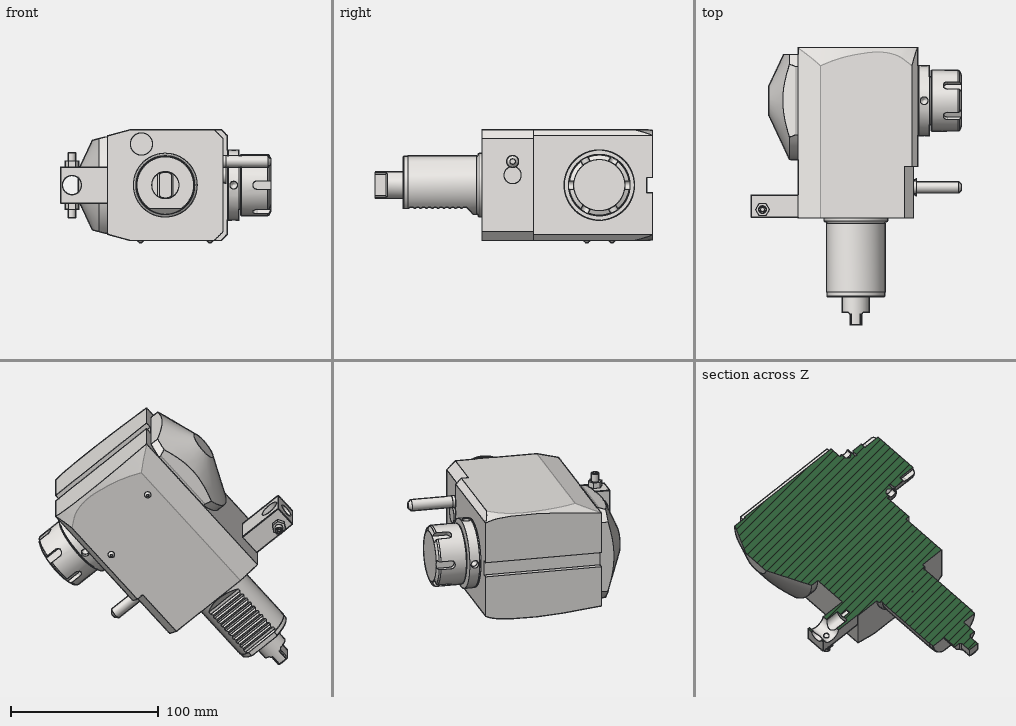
import cadquery as cq
import math


BODY_LEFT = -39.1
BODY_RIGHT = 42.0
BODY_BACK = 115.6
BODY_HEIGHT = 75.0
BODY_HALF_HEIGHT = BODY_HEIGHT / 2
SIDE_SLOPE = math.tan(math.radians(15))
SLOPE_WIDTH = 15.2
RIGHT_CHAMFER = 4.0
STEP_RIGHT = 39.1
STEP_LENGTH = 35.0
STEP_CHAMFER = 6.0
CROWN_STATIONS = (
    (BODY_LEFT, 4.1, 20.7),
    (-23.9, 2.5, 12.5),
    (-5.6, 1.0, 6.0),
    (12.2, 0.28, 3.2),
    (25.8, 0.65, 4.7),
    (38.0, 2.5, 12.5),
    (BODY_RIGHT, 4.0, 15.0),
)
CROWN_LENGTH = 15.0
KEYWAY_DEPTH = 4.0
KEYWAY_WIDTH = 10.2
PLUG_CENTER = (-16.2, 27.8)
PLUG_RADIUS = 7.5
PLUG_RECESS = 0.4

SPINDLE_Y = 79.5

COVER_RADIUS = 40.0
COVER_TIP_RADIUS = 10.0
COVER_RIM = 5.8
COVER_CONE_SLOPE = math.tan(math.radians(25))
COVER_BACK = 31.4
COVER_HALF_HEIGHT = 32.7
COVER_FLAT = 1.5

SEAT_RADIUS = 23.5
SEAT_LENGTH = 1.0
FLANGE_RADIUS = 23.9
FLANGE_END = 49.8
NECK_RADIUS = 16.4
NUT_START = 51.0
NUT_RADIUS = 20.9
NUT_EDGE = 0.5
NUT_SHOULDER = 70.3
NUT_FACE_RADIUS = 17.3
TOOL_END = 71.6
FLANGE_HOLE_X = 46.2
FLANGE_HOLE_RADIUS = 2.6
FLANGE_HOLE_DEPTH = 3.8
FLANGE_HOLE_COUNT = 4
NUT_SLOT_COUNT = 6
NUT_SLOT_WIDTH = 5.6
NUT_SLOT_START = 59.2
NUT_SLOT_FLOOR = 17.3

PIN_Y = 20.9
PIN_Z = 16.0
PIN_RADIUS = 4.0
PIN_BASE_RADIUS = 4.1
PIN_BASE_LENGTH = 2.0
PIN_CHAMFER = 2.0
NOZZLE_Z = 6.8
NOZZLE_RADIUS = 4.9
NOZZLE_FLARE = 1.0
NOZZLE_LENGTH = 1.9

COLLAR_RADIUS = 21.6
COLLAR_RIM = 1.5
COLLAR_ROUND = 1.0
UNDERCUT_RADIUS = 19.5
UNDERCUT_END = 3.8
SHANK_RADIUS = 20.0
SHANK_LENGTH = 53.2
SHANK_BAND = 3.4
BAND_INSET = 0.28
END_CHAMFER = 0.47
TOOTH_ROOT = 15.0
TOOTH_HEIGHT = 1.0
TOOTH_HALF_WIDTH = 1.3
TOOTH_PITCH = 4.0
TOOTH_COUNT = 9
FIRST_TOOTH = 13.7
RUNOUT_START = 5.6
RUNOUT_END = 10.3

DRIVE_RADIUS = 9.2
DRIVE_SHOULDER = 63.7
DRIVE_END = 72.4
TANG_THICKNESS = 8.0
ROOT_BEVEL = 1.1
TANG_CHAMFER = 1.1

BLOCK_LEFT = -71.0
BLOCK_FRONT = 0.5
BLOCK_BACK = 15.8
BLOCK_HALF_HEIGHT = 12.5
BLOCK_EDGE = 0.4
CROSS_HOLE_X = -63.2
CROSS_HOLE_RADIUS = 6.4
END_BORE_Y = 7.3
END_BORE_RADIUS = 4.7
END_BORE_FLOOR = -47.0
JET_RADIUS = 1.41
JET_DEPTH = 5.6
SCREW_Y = 5.8
SCREW_RADIUS = 2.6
SCREW_HOLE_RADIUS = 1.9
SCREW_HOLE_END = 6.8
SCREW_END = 22.2
SCREW_EDGE = 0.4
LOCKNUT_END = 16.4
LOCKNUT_ACROSS_CORNERS = 9.4
SOCKET_ACROSS_CORNERS = 3.0
SOCKET_DEPTH = 2.8

RIVET_SPOTS = ((-16.7, 88.2), (30.3, 71.0))
RIVET_RADIUS = 2.3
RIVET_TIP_RADIUS = 0.8
RIVET_HEIGHT = 1.5

OVERLAP = 1.9


def cylinder(start, direction, radius, length):
    """Solid cylinder from a start point along a direction."""
    return cq.Workplane(cq.Solid.makeCylinder(radius, length, cq.Vector(*start), cq.Vector(*direction)))


def cone(start, direction, start_radius, end_radius, length):
    """Solid cone frustum from a start point along a direction."""
    return cq.Workplane(
        cq.Solid.makeCone(start_radius, end_radius, length, cq.Vector(*start), cq.Vector(*direction))
    )


def box(x_range, y_range, z_range):
    """Axis-aligned box from its three ranges."""
    ranges = (x_range, y_range, z_range)
    size = [high - low for low, high in ranges]
    corner = cq.Vector(*[low for low, high in ranges])
    return cq.Workplane(cq.Solid.makeBox(*size, corner))


def mirrored_outline(upper_half):
    """Close a point list given for positive second coordinate with its mirror image."""
    return upper_half + [(a, -b) for a, b in reversed(upper_half)]


def crown_section(y, heights):
    """Closed section across the body at the given Y, bounded above by a smooth curve."""
    stations = [x for x, drop, run in CROWN_STATIONS]
    curve = [cq.Vector(x, y, z) for x, z in zip(stations, heights)]
    corners = [curve[-1], cq.Vector(stations[-1], y, 0), cq.Vector(stations[0], y, 0), curve[0]]
    edges = [cq.Edge.makeSpline(curve)]
    edges += [cq.Edge.makeLine(start, end) for start, end in zip(corners, corners[1:])]
    return cq.Wire.assembleEdges(edges)


def crown_cutter():
    """Material removed above the crowned surface at the back of the body's top."""
    back = [BODY_HALF_HEIGHT - drop for x, drop, run in CROWN_STATIONS]
    front = [BODY_HALF_HEIGHT + drop * (CROWN_LENGTH / run - 1) for x, drop, run in CROWN_STATIONS]
    front_y = BODY_BACK - CROWN_LENGTH
    kept = cq.Solid.makeLoft([crown_section(BODY_BACK, back), crown_section(front_y, front)], True)
    blank = box((BODY_LEFT, BODY_RIGHT), (front_y, BODY_BACK), (0, BODY_HALF_HEIGHT + OVERLAP))
    return blank.cut(cq.Workplane(kept))


def make_body():
    outline = mirrored_outline([
        (BODY_LEFT, BODY_HALF_HEIGHT - SLOPE_WIDTH * SIDE_SLOPE),
        (BODY_LEFT + SLOPE_WIDTH, BODY_HALF_HEIGHT),
        (BODY_RIGHT - RIGHT_CHAMFER, BODY_HALF_HEIGHT),
        (BODY_RIGHT, BODY_HALF_HEIGHT - RIGHT_CHAMFER),
    ])
    body = cq.Workplane("XZ").polyline(outline).close().extrude(-BODY_BACK)

    crown = crown_cutter()
    body = body.cut(crown).cut(crown.mirror("XY"))

    wide = BODY_RIGHT + OVERLAP
    tall = BODY_HALF_HEIGHT + OVERLAP
    step = box((STEP_RIGHT - STEP_CHAMFER - OVERLAP, wide), (-OVERLAP, STEP_LENGTH), (-tall, tall))
    kept_outline = mirrored_outline([
        (BODY_LEFT, BODY_HALF_HEIGHT),
        (STEP_RIGHT - STEP_CHAMFER, BODY_HALF_HEIGHT),
        (STEP_RIGHT, BODY_HALF_HEIGHT - STEP_CHAMFER),
    ])
    kept = cq.Workplane("XZ").polyline(kept_outline).close().extrude(-STEP_LENGTH)
    body = body.cut(step.cut(kept))

    keyway = box(
        (BODY_LEFT - OVERLAP, wide),
        (BODY_BACK - KEYWAY_DEPTH, BODY_BACK + OVERLAP),
        (-KEYWAY_WIDTH / 2, KEYWAY_WIDTH / 2),
    )
    plug_x, plug_z = PLUG_CENTER
    plug = cylinder((plug_x, 0, plug_z), (0, 1, 0), PLUG_RADIUS, PLUG_RECESS)
    return body.cut(keyway).cut(plug)


def make_cover():
    """Conical cover on the left side, trimmed at the back, the top and the bottom."""
    cone_length = (COVER_RADIUS - COVER_TIP_RADIUS) * COVER_CONE_SLOPE
    cover_length = COVER_RIM + cone_length
    rim_start = (BODY_LEFT + OVERLAP, SPINDLE_Y, 0)
    cone_start = (BODY_LEFT - COVER_RIM, SPINDLE_Y, 0)
    cover = cylinder(rim_start, (-1, 0, 0), COVER_RADIUS, COVER_RIM + OVERLAP)
    cover = cover.union(cone(cone_start, (-1, 0, 0), COVER_RADIUS, COVER_TIP_RADIUS, cone_length))

    slope_start = BODY_LEFT - COVER_FLAT
    tip = BODY_LEFT - cover_length
    side = mirrored_outline([
        (tip, COVER_HALF_HEIGHT - (slope_start - tip) * SIDE_SLOPE),
        (slope_start, COVER_HALF_HEIGHT),
        (BODY_LEFT + OVERLAP, COVER_HALF_HEIGHT),
    ])
    side_trim = cq.Workplane("XZ").polyline(side).close().extrude(-SPINDLE_Y - COVER_BACK)
    return cover.intersect(side_trim)


def make_chuck():
    """Flange and slotted clamping nut, turned about the spindle line."""
    seat_end = BODY_RIGHT + SEAT_LENGTH
    profile = [
        (BODY_RIGHT - OVERLAP, 0),
        (BODY_RIGHT - OVERLAP, SEAT_RADIUS),
        (seat_end, SEAT_RADIUS),
        (seat_end, FLANGE_RADIUS),
        (FLANGE_END, FLANGE_RADIUS),
        (FLANGE_END, NECK_RADIUS),
        (NUT_START, NECK_RADIUS),
        (NUT_START, NUT_RADIUS - NUT_EDGE),
        (NUT_START + NUT_EDGE, NUT_RADIUS),
        (NUT_SHOULDER - 2 * NUT_EDGE, NUT_RADIUS),
        (NUT_SHOULDER, NUT_RADIUS - NUT_EDGE),
        (TOOL_END, NUT_FACE_RADIUS),
        (TOOL_END, 0),
    ]
    chuck = (
        cq.Workplane("XY", origin=(0, SPINDLE_Y, 0))
        .polyline(profile).close().revolve(360, (0, 0, 0), (1, 0, 0))
    )

    axis_start = (0, SPINDLE_Y, 0)
    axis_end = (1, SPINDLE_Y, 0)
    hole_floor = SPINDLE_Y - FLANGE_RADIUS + FLANGE_HOLE_DEPTH
    hole = cylinder(
        (FLANGE_HOLE_X, hole_floor, 0), (0, -1, 0), FLANGE_HOLE_RADIUS, FLANGE_HOLE_DEPTH + OVERLAP
    )
    hole = hole.union(
        cone((FLANGE_HOLE_X, hole_floor, 0), (0, 1, 0), FLANGE_HOLE_RADIUS, 0, FLANGE_HOLE_RADIUS)
    )
    for index in range(FLANGE_HOLE_COUNT):
        chuck = chuck.cut(hole.rotate(axis_start, axis_end, index * 360 / FLANGE_HOLE_COUNT))

    slot_floor = SPINDLE_Y - NUT_SLOT_FLOOR
    slot_side = SPINDLE_Y - NUT_RADIUS - OVERLAP
    round_x = NUT_SLOT_START + NUT_SLOT_WIDTH / 2
    slot = box(
        (round_x, TOOL_END + OVERLAP), (slot_side, slot_floor), (-NUT_SLOT_WIDTH / 2, NUT_SLOT_WIDTH / 2)
    )
    slot = slot.union(
        cylinder((round_x, slot_side, 0), (0, 1, 0), NUT_SLOT_WIDTH / 2, slot_floor - slot_side)
    )
    for index in range(NUT_SLOT_COUNT):
        chuck = chuck.cut(slot.rotate(axis_start, axis_end, index * 360 / NUT_SLOT_COUNT))
    return chuck


def make_coolant_parts():
    """Coolant pin and the flared nozzle seat below it."""
    start_x = STEP_RIGHT - OVERLAP
    pin = cylinder((start_x, PIN_Y, PIN_Z), (1, 0, 0), PIN_RADIUS, TOOL_END - start_x)
    pin = pin.faces(">X").chamfer(PIN_CHAMFER)
    base = cylinder((start_x, PIN_Y, PIN_Z), (1, 0, 0), PIN_BASE_RADIUS, OVERLAP + PIN_BASE_LENGTH)
    nozzle = cone(
        (STEP_RIGHT, PIN_Y, NOZZLE_Z), (1, 0, 0), NOZZLE_RADIUS, NOZZLE_RADIUS + NOZZLE_FLARE, NOZZLE_LENGTH
    )
    root = cylinder((start_x, PIN_Y, NOZZLE_Z), (1, 0, 0), NOZZLE_RADIUS, OVERLAP)
    return pin.union(base).union(nozzle).union(root)


def make_shank():
    """Round shank with a collar at the body and a toothed flat underneath."""
    band_radius = SHANK_RADIUS - BAND_INSET
    collar_end = COLLAR_RIM + COLLAR_ROUND
    round_radius = COLLAR_RADIUS - COLLAR_ROUND
    undercut_round = round_radius - UNDERCUT_RADIUS
    round_leg = COLLAR_ROUND * math.sqrt(0.5)
    undercut_leg = undercut_round * math.sqrt(0.5)
    shank = (
        cq.Workplane("XY")
        .moveTo(0, OVERLAP)
        .lineTo(COLLAR_RADIUS, OVERLAP)
        .lineTo(COLLAR_RADIUS, -COLLAR_RIM)
        .threePointArc((round_radius + round_leg, -COLLAR_RIM - round_leg), (round_radius, -collar_end))
        .threePointArc(
            (round_radius - undercut_leg, -collar_end - undercut_round + undercut_leg),
            (UNDERCUT_RADIUS, -collar_end - undercut_round),
        )
        .lineTo(SHANK_RADIUS, -UNDERCUT_END)
        .lineTo(SHANK_RADIUS, SHANK_BAND - SHANK_LENGTH)
        .lineTo(band_radius, SHANK_BAND - SHANK_LENGTH)
        .lineTo(band_radius, END_CHAMFER - SHANK_LENGTH)
        .lineTo(band_radius - END_CHAMFER, -SHANK_LENGTH)
        .lineTo(0, -SHANK_LENGTH)
        .close().revolve(360, (0, 0, 0), (0, 1, 0))
    )

    tooth_tip = TOOTH_ROOT + TOOTH_HEIGHT
    rack = [(-RUNOUT_START, -SHANK_RADIUS), (-RUNOUT_END, -TOOTH_ROOT)]
    for index in range(TOOTH_COUNT):
        tip_y = -FIRST_TOOTH - index * TOOTH_PITCH
        rack.append((tip_y + TOOTH_HALF_WIDTH, -TOOTH_ROOT))
        rack.append((tip_y, -tooth_tip))
        rack.append((tip_y - TOOTH_HALF_WIDTH, -TOOTH_ROOT))
    land_start = SHANK_BAND - SHANK_LENGTH
    rack.append((land_start + TOOTH_HALF_WIDTH, -TOOTH_ROOT))
    rack.append((land_start, -tooth_tip))
    rack.append((-SHANK_LENGTH - OVERLAP, -tooth_tip))
    rack.append((-SHANK_LENGTH - OVERLAP, -SHANK_RADIUS - OVERLAP))
    rack.append((-RUNOUT_START, -SHANK_RADIUS - OVERLAP))
    rack_cut = cq.Workplane("YZ").polyline(rack).close().extrude(SHANK_RADIUS, both=True)
    return shank.cut(rack_cut)


def make_drive():
    """Drive spindle end with a flat tang."""
    start = -SHANK_LENGTH + OVERLAP
    drive = cylinder((0, start, 0), (0, -1, 0), DRIVE_RADIUS, start + DRIVE_END)
    drive = drive.faces("<Y").chamfer(TANG_CHAMFER / 2)
    half_tang = TANG_THICKNESS / 2
    for side in (-1, 1):
        x_range = sorted((side * half_tang, side * 2 * DRIVE_RADIUS))
        gap = box(x_range, (-DRIVE_END - OVERLAP, -DRIVE_SHOULDER), (-2 * DRIVE_RADIUS, 2 * DRIVE_RADIUS))
        root_edge = gap.faces(">Y").edges("<X" if side > 0 else ">X")
        drive = drive.cut(root_edge.chamfer(ROOT_BEVEL))
        half_width = math.sqrt(DRIVE_RADIUS ** 2 - half_tang ** 2)
        for end in (-1, 1):
            edge_cut = (
                cq.Workplane("XZ", origin=(0, -DRIVE_SHOULDER - ROOT_BEVEL, 0))
                .polyline([
                    (side * half_tang, end * (half_width - TANG_CHAMFER)),
                    (side * (half_tang + OVERLAP), end * (half_width - TANG_CHAMFER)),
                    (side * (half_tang + OVERLAP), end * (half_width + OVERLAP)),
                    (side * (half_tang - TANG_CHAMFER), end * half_width),
                ])
                .close().extrude(DRIVE_END)
            )
            drive = drive.cut(edge_cut)
    return drive


def make_screw():
    """Upper clamp screw with its locknut, standing on the block."""
    root_z = BLOCK_HALF_HEIGHT - OVERLAP
    screw = cylinder((CROSS_HOLE_X, SCREW_Y, root_z), (0, 0, 1), SCREW_RADIUS, SCREW_END - root_z)
    screw = screw.faces(">Z").chamfer(SCREW_EDGE)
    locknut = (
        cq.Workplane("XY", origin=(CROSS_HOLE_X, SCREW_Y, BLOCK_HALF_HEIGHT))
        .polygon(6, LOCKNUT_ACROSS_CORNERS).extrude(LOCKNUT_END - BLOCK_HALF_HEIGHT)
    )
    socket = (
        cq.Workplane("XY", origin=(CROSS_HOLE_X, SCREW_Y, SCREW_END))
        .polygon(6, SOCKET_ACROSS_CORNERS).extrude(-SOCKET_DEPTH)
    )
    return screw.union(locknut).cut(socket)


def make_block():
    block = box(
        (BLOCK_LEFT, BODY_LEFT),
        (BLOCK_FRONT, BLOCK_BACK),
        (-BLOCK_HALF_HEIGHT, BLOCK_HALF_HEIGHT),
    )
    block = block.edges("|X or <X").chamfer(BLOCK_EDGE)
    root = box(
        (BODY_LEFT - OVERLAP, BODY_LEFT + OVERLAP),
        (BLOCK_FRONT + OVERLAP, BLOCK_BACK - OVERLAP),
        (OVERLAP - BLOCK_HALF_HEIGHT, BLOCK_HALF_HEIGHT - OVERLAP),
    )
    cross_hole = cylinder((CROSS_HOLE_X, -OVERLAP, 0), (0, 1, 0), CROSS_HOLE_RADIUS, BLOCK_BACK + 2 * OVERLAP)
    bore_start = BLOCK_LEFT - OVERLAP
    end_bore = cylinder(
        (bore_start, END_BORE_Y, 0), (1, 0, 0), END_BORE_RADIUS, END_BORE_FLOOR - bore_start
    )
    jet = cylinder((END_BORE_FLOOR, END_BORE_Y, 0), (1, 0, 0), JET_RADIUS, JET_DEPTH)
    screw_hole = cylinder(
        (CROSS_HOLE_X, SCREW_Y, -SCREW_HOLE_END), (0, 0, 1), SCREW_HOLE_RADIUS, 2 * SCREW_HOLE_END
    )
    screw = make_screw()
    block = block.union(root).cut(cross_hole).cut(end_bore).cut(jet).cut(screw_hole)
    return block.union(screw).union(screw.mirror("XY"))


def make_rivet(x, y):
    base_z = OVERLAP - BODY_HALF_HEIGHT
    root = cylinder((x, y, base_z), (0, 0, -1), RIVET_RADIUS, OVERLAP)
    tip = cone((x, y, -BODY_HALF_HEIGHT), (0, 0, -1), RIVET_RADIUS, RIVET_TIP_RADIUS, RIVET_HEIGHT)
    return root.union(tip)


result = make_body()
for piece in (make_cover(), make_chuck(), make_coolant_parts(), make_shank(), make_drive(), make_block()):
    result = result.union(piece)
for rivet_x, rivet_y in RIVET_SPOTS:
    result = result.union(make_rivet(rivet_x, rivet_y))